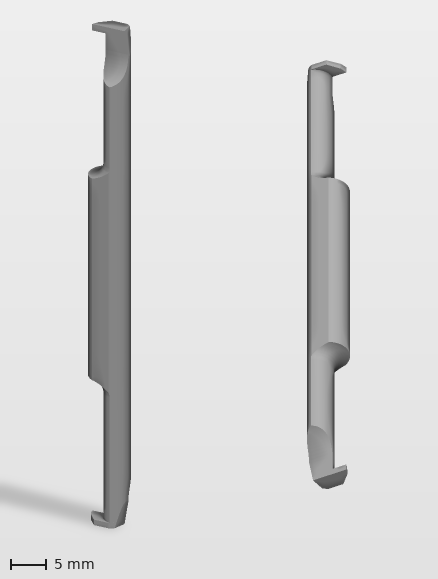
import cadquery as cq
import math

length = 75.0
half_length = length / 2
bar_radius = 3.0
flat_half_width = 2.7

neck_radius = 2.7
neck_center_x = 2.1
shank_half_length = 15.3
shoulder_radius = 2.1

rake_length = 3.45
runout_radius = 4.8

hook_thickness = 1.0
hook_reach = 2.8
hook_corner = (-2.4, 1.05)
hook_back_x = -1.0
end_relief = 0.15

back_end_x = 2.4
back_drop = 3.5
back_taper_x = 0.45

margin = 3.75


def flat_sided_bar():
    """Full-length round bar trimmed by the flats at +Y and -Y."""
    bar = cq.Workplane("XY").circle(bar_radius).extrude(length).translate((0, 0, -half_length))
    trim = cq.Workplane("XY").box(4 * bar_radius, 2 * flat_half_width, length)
    return bar.intersect(trim)


def neck_envelope():
    """Neck cylinder flaring through a concave shoulder to clear the shank, turned about the neck axis."""
    flare_radius = neck_radius + shoulder_radius
    outer_radius = neck_center_x + bar_radius + margin
    mid = shoulder_radius * (1 - math.sqrt(0.5))
    profile = (
        cq.Workplane("XZ")
        .moveTo(0, 0)
        .lineTo(outer_radius, 0)
        .lineTo(outer_radius, shank_half_length)
        .lineTo(flare_radius, shank_half_length)
        .threePointArc(
            (neck_radius + mid, shank_half_length + mid),
            (neck_radius, shank_half_length + shoulder_radius),
        )
        .lineTo(neck_radius, half_length)
        .lineTo(0, half_length)
        .close()
    )
    return profile.revolve(360, (0, 0, 0), (0, 1, 0)).translate((neck_center_x, 0, 0))


def hook():
    """Plate at the tip that reaches toward -X from the rake face at Y = 0."""
    outline = [
        (-hook_reach, 0),
        hook_corner,
        (hook_back_x, flat_half_width),
        (bar_radius, flat_half_width),
        (bar_radius, 0),
    ]
    plate = cq.Workplane("XY").polyline(outline).close().extrude(hook_thickness)
    return plate.translate((0, 0, half_length - hook_thickness)).intersect(flat_sided_bar())


def rake_cut():
    """Removes the -Y half near the tip, running out through an arc."""
    start = half_length - rake_length
    mid = runout_radius * math.sqrt(0.5)
    profile = (
        cq.Workplane("YZ")
        .moveTo(0, half_length + margin)
        .lineTo(0, start)
        .threePointArc(
            (mid - runout_radius, start - mid),
            (-runout_radius, start - runout_radius),
        )
        .lineTo(-runout_radius, half_length + margin)
        .close()
    )
    return profile.extrude(2 * bar_radius, both=True)


def end_relief_cut():
    """Wedge that slopes the end face down from the cutting edge at Y = 0."""
    wedge = (
        cq.Workplane("YZ")
        .polyline([(0, half_length), (flat_half_width, half_length - end_relief), (flat_half_width, half_length)])
        .close()
    )
    return wedge.extrude(2 * bar_radius, both=True)


def back_relief_cut():
    """Plane sloping toward the tip and away from the cutting face, on the +X side."""
    slope = (bar_radius - back_end_x) / back_drop
    taper = back_taper_x / flat_half_width

    def section(y):
        top_x = back_end_x - taper * y
        bottom_z = half_length - (bar_radius + margin - top_x) / slope
        return (
            cq.Workplane("XZ", origin=(0, y, 0))
            .polyline([(top_x, half_length), (bar_radius + margin, half_length), (bar_radius + margin, bottom_z)])
            .close()
            .wires()
            .val()
        )

    return cq.Workplane(obj=cq.Solid.makeLoft([section(0), section(flat_half_width)], True))


def upper_half():
    """Half of the bar above Z = 0, finished with its hooked tip."""
    blank = flat_sided_bar().intersect(neck_envelope())
    return blank.union(hook()).cut(rake_cut()).cut(end_relief_cut()).cut(back_relief_cut())


def lower_tip_zone():
    """Slab that holds everything beyond the hook plane at the lower end."""
    slab = cq.Workplane("XY").box(4 * bar_radius, 4 * bar_radius, hook_thickness)
    return slab.translate((0, 0, (hook_thickness - length) / 2))


upper_end = upper_half()
lower_end = upper_end.rotate((0, 0, 0), (1, 0, 0), 180)

bar = upper_end.union(lower_end.cut(lower_tip_zone())).clean()

lower_tip = lower_end.intersect(lower_tip_zone())

result = cq.Compound.makeCompound([bar.val(), lower_tip.val()])